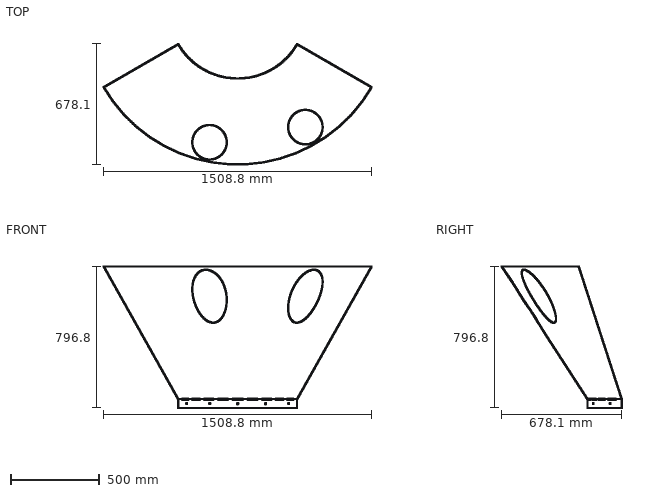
import cadquery as cq
import math

TOTAL_HEIGHT = 796.75
COLLAR_HEIGHT = 50.0
COLLAR_INNER_RADIUS = 386.0
OVERALL_WIDTH = 1508.81
WALL = 1.0
SECTOR_ANGLE = 120.0

PORT_DIAMETER = 193.0
PORT_PITCH_RADIUS = 762.0
PORT_ANGLES = (-12.0, 30.0)

FIXING_DIAMETER = 5.0
FIXING_COUNT = 5
FIXING_STEP = 24.0

SLOT_COUNT = 9
SLOT_STEP = 12.5
SLOT_SPAN = 8.2
SLOT_BOTTOM = 47.0
SLOT_TOP = 51.0

CUTTER_CLEARANCE = 5.0

rim_outer_radius = OVERALL_WIDTH / 2 / math.sin(math.radians(SECTOR_ANGLE / 2))
collar_outer_radius = COLLAR_INNER_RADIUS + WALL
cone_half_angle = math.atan2(rim_outer_radius - collar_outer_radius, TOTAL_HEIGHT - COLLAR_HEIGHT)
cone_wall_width = WALL / math.cos(cone_half_angle)
inner_bend_height = COLLAR_HEIGHT + (cone_wall_width - WALL) / math.tan(cone_half_angle)


def make_shell():
    """Collar and flared cone, revolved over the sector centred on -Y."""
    profile = (
        cq.Workplane("XZ")
        .moveTo(COLLAR_INNER_RADIUS, 0)
        .lineTo(collar_outer_radius, 0)
        .lineTo(collar_outer_radius, COLLAR_HEIGHT)
        .lineTo(rim_outer_radius, TOTAL_HEIGHT)
        .lineTo(rim_outer_radius - cone_wall_width, TOTAL_HEIGHT)
        .lineTo(COLLAR_INNER_RADIUS, inner_bend_height)
        .close()
    )
    sector = profile.revolve(SECTOR_ANGLE, (0, 0, 0), (0, 1, 0))
    first_edge_angle = -90 - SECTOR_ANGLE / 2
    return sector.rotate((0, 0, 0), (0, 0, 1), first_edge_angle)


def make_port(angle):
    """Vertical cutter at an angle measured from -Y towards +X."""
    x = PORT_PITCH_RADIUS * math.sin(math.radians(angle))
    y = -PORT_PITCH_RADIUS * math.cos(math.radians(angle))
    return cq.Workplane("XY").center(x, y).circle(PORT_DIAMETER / 2).extrude(TOTAL_HEIGHT)


def make_fixing_hole(angle):
    """Radial cutter through the collar at mid height."""
    cutter = (
        cq.Workplane("XZ")
        .center(0, COLLAR_HEIGHT / 2)
        .circle(FIXING_DIAMETER / 2)
        .extrude(collar_outer_radius + CUTTER_CLEARANCE)
    )
    return cutter.rotate((0, 0, 0), (0, 0, 1), angle)


def make_relief_slot(angle):
    """Arc-shaped cutter through the wall along the bend, centred on the given angle."""
    cutter_width = WALL + 2 * CUTTER_CLEARANCE
    ring = (
        cq.Workplane("XZ")
        .moveTo(COLLAR_INNER_RADIUS - CUTTER_CLEARANCE, SLOT_BOTTOM)
        .rect(cutter_width, SLOT_TOP - SLOT_BOTTOM, centered=False)
        .revolve(SLOT_SPAN, (0, 0, 0), (0, 1, 0))
    )
    return ring.rotate((0, 0, 0), (0, 0, 1), -90 + angle - SLOT_SPAN / 2)


def spread(count, step):
    """Angles at an even step, symmetric about -Y."""
    return [(index - (count - 1) / 2) * step for index in range(count)]


result = make_shell()
for port_angle in PORT_ANGLES:
    result = result.cut(make_port(port_angle))
for fixing_angle in spread(FIXING_COUNT, FIXING_STEP):
    result = result.cut(make_fixing_hole(fixing_angle))
for slot_angle in spread(SLOT_COUNT, SLOT_STEP):
    result = result.cut(make_relief_slot(slot_angle))